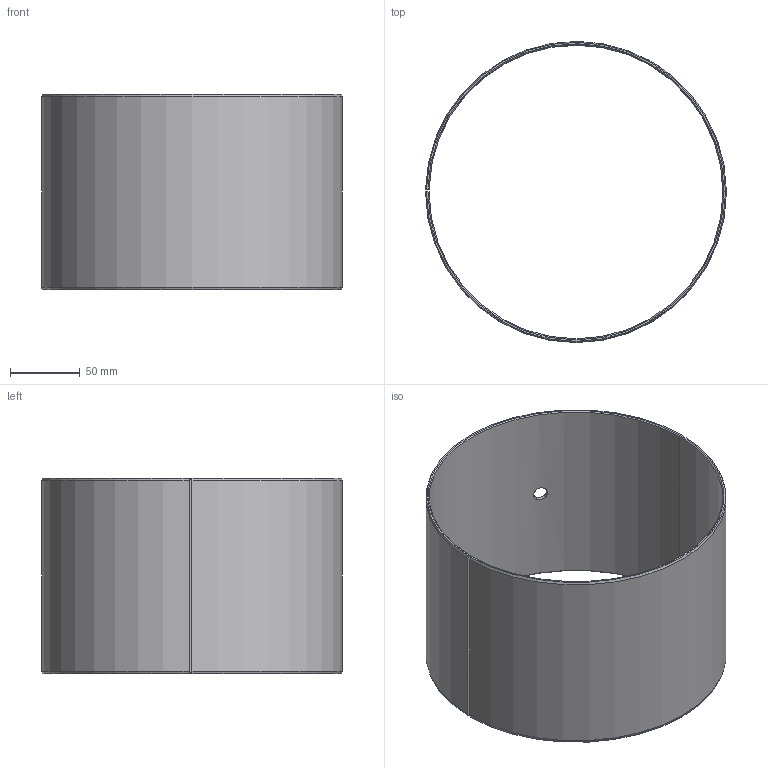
import cadquery as cq
import math

outer_diameter = 215.0
wall_thickness = 2.5
height = 140.0

outer_bevel_height = 1.8
outer_bevel_angle = 20.0

inner_chamfer = 0.8

slit_width = 2.0

hole_diameter = 10.0
hole_angle = 59.0
hole_height = height / 2

outer_radius = outer_diameter / 2
inner_radius = outer_radius - wall_thickness
outer_bevel_width = outer_bevel_height * math.tan(math.radians(outer_bevel_angle))


def make_ring():
    """Revolve the wall section, bevelled at both rims, around Z."""
    section = [
        (inner_radius, inner_chamfer),
        (inner_radius + inner_chamfer, 0),
        (outer_radius - outer_bevel_width, 0),
        (outer_radius, outer_bevel_height),
        (outer_radius, height - outer_bevel_height),
        (outer_radius - outer_bevel_width, height),
        (inner_radius + inner_chamfer, height),
        (inner_radius, height - inner_chamfer),
    ]
    return cq.Workplane("XZ").polyline(section).close().revolve(360, (0, 0, 0), (0, 1, 0))


def make_slit_cutter():
    """Thin slab reaching from the axis past the -X side of the wall."""
    slab = cq.Workplane("XY").box(outer_diameter, slit_width, height, centered=False)
    return slab.translate((-outer_diameter, 0, 0))


def make_hole_cutter():
    """Cylinder running from the axis outwards through the wall."""
    cutter = cq.Workplane("YZ").center(0, hole_height).circle(hole_diameter / 2).extrude(outer_diameter)
    return cutter.rotate((0, 0, 0), (0, 0, 1), hole_angle)


result = make_ring().cut(make_slit_cutter()).cut(make_hole_cutter())